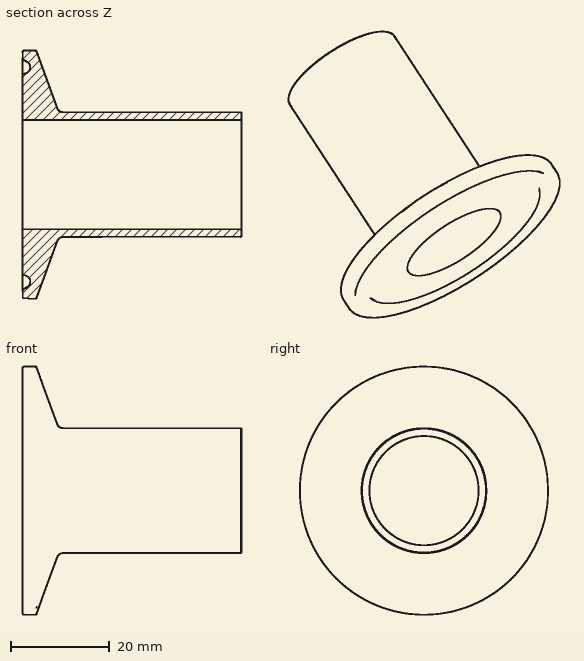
import cadquery as cq
import math

length = 44.45
flange_radius = 25.2
tube_radius = 12.7
bore_radius = 11.06

rim_width = 2.8
cone_angle = math.radians(20)
rim_round = 0.4
neck_round = 1.05
tube_end_chamfer = 0.15

groove_radius = 21.75
groove_depth = 1.55
groove_bottom_round = 1.25
outer_wall_slope = math.radians(62)
inner_wall_slope = math.radians(75)
groove_lip_round = 0.45


def revolve_about_x(profile):
    """Turn a closed profile, drawn as (axial, radial) points, about the X axis."""
    return profile.close().revolve(360, (0, 0, 0), (1, 0, 0))


def circle_edge(solid, x, radius):
    """Pick the circular edge of the given radius at the given axial place."""
    tolerance = 0.005
    return solid.edges("%CIRCLE").filter(
        lambda edge: abs(edge.Center().x - x) < tolerance
        and abs(edge.radius() - radius) < tolerance
    )


def ferrule_body():
    neck_x = rim_width + (flange_radius - tube_radius) * math.tan(cone_angle)
    body = revolve_about_x(
        cq.Workplane("XY")
        .moveTo(0, bore_radius)
        .lineTo(0, flange_radius)
        .lineTo(rim_width, flange_radius)
        .lineTo(neck_x, tube_radius)
        .lineTo(length, tube_radius)
        .lineTo(length, bore_radius)
    )
    body = circle_edge(body, neck_x, tube_radius).fillet(neck_round)
    body = circle_edge(body, rim_width, flange_radius).fillet(rim_round)
    body = circle_edge(body, 0, flange_radius).fillet(rim_round)
    return circle_edge(body, length, tube_radius).chamfer(tube_end_chamfer)


def wall_span(slope):
    """Radial distance from the groove's deepest circle to its mouth."""
    across_bottom = groove_bottom_round * math.sin(slope)
    rise_of_bottom = groove_bottom_round * (1 - math.cos(slope))
    return across_bottom + (groove_depth - rise_of_bottom) / math.tan(slope)


def groove_cutter():
    bottom_center_x = groove_depth - groove_bottom_round

    def bottom_point(slope, side):
        return (
            bottom_center_x + groove_bottom_round * math.cos(slope),
            groove_radius + side * groove_bottom_round * math.sin(slope),
        )

    return revolve_about_x(
        cq.Workplane("XY")
        .moveTo(0, groove_radius - wall_span(inner_wall_slope))
        .lineTo(*bottom_point(inner_wall_slope, -1))
        .threePointArc((groove_depth, groove_radius), bottom_point(outer_wall_slope, 1))
        .lineTo(0, groove_radius + wall_span(outer_wall_slope))
    )


def cut_groove(body):
    inner_mouth = groove_radius - wall_span(inner_wall_slope)
    outer_mouth = groove_radius + wall_span(outer_wall_slope)
    body = body.cut(groove_cutter())
    body = circle_edge(body, 0, inner_mouth).fillet(groove_lip_round)
    return circle_edge(body, 0, outer_mouth).fillet(groove_lip_round)


result = cut_groove(ferrule_body())